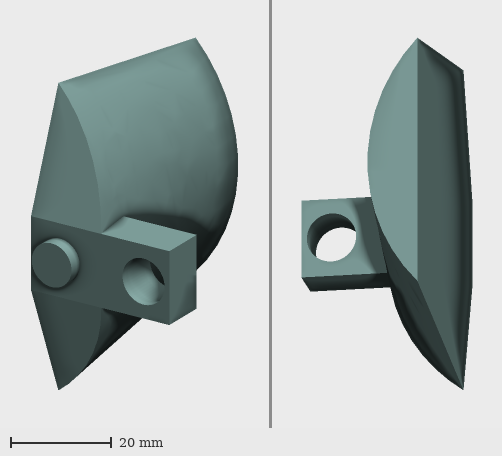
import cadquery as cq

blade_length = 60.0
nose_length = 9.95
widest_half_height = 33.2
far_half_height = 25.25
nose_half_height = 8.0
far_bulge = 10.1
near_bulge = 17.4

lug_length = 32.8
lug_depth = nose_length
lug_height = 2 * nose_half_height
hole_x = 26.7
hole_diameter = 9.95
pin_x = 6.85
pin_diameter = 9.45
pin_length = 3.0

edge_slope = (widest_half_height - far_half_height) / (blade_length - nose_length)
near_half_height = widest_half_height + edge_slope * nose_length


def add_segment(plane, half_height, bulge):
    """Draw a circular segment with its chord along Z."""
    return (
        plane.moveTo(0, -half_height)
        .threePointArc((bulge, 0), (0, half_height))
        .close()
    )


def make_blade():
    """Loft between two circular segments, then bevel the front corners."""
    near = add_segment(cq.Workplane("XZ"), near_half_height, near_bulge)
    both = add_segment(near.workplane(offset=-blade_length), far_half_height, far_bulge)
    body = both.loft(ruled=True)
    side_outline = (
        cq.Workplane("YZ")
        .polyline([
            (0, -nose_half_height),
            (nose_length, -widest_half_height),
            (blade_length, -far_half_height),
            (blade_length, far_half_height),
            (nose_length, widest_half_height),
            (0, nose_half_height),
        ])
        .close()
        .extrude(lug_length)
    )
    return body.intersect(side_outline)


def make_cylinder(x, diameter, y_start, length):
    """Round bar along +Y, centred on Z = 0."""
    return (
        cq.Workplane("XZ", origin=(x, y_start, 0))
        .circle(diameter / 2)
        .extrude(-length)
    )


lug = cq.Workplane("XY").box(lug_length, lug_depth, lug_height, centered=(False, False, True))
pin = make_cylinder(pin_x, pin_diameter, -pin_length, pin_length)
hole = make_cylinder(hole_x, hole_diameter, 0, lug_depth)

result = make_blade().union(lug).union(pin).cut(hole)